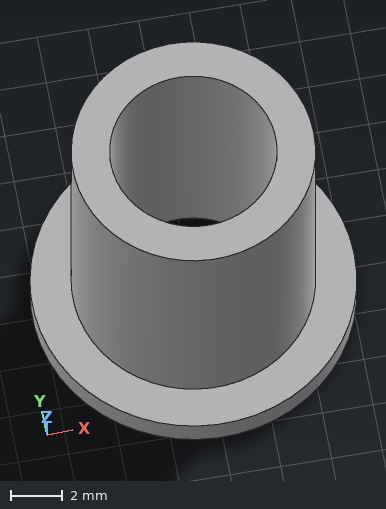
import cadquery as cq

flange_diameter = 12.7
sleeve_diameter = 9.5
bore_diameter = 6.5
total_height = 12.4
flange_thickness = 1.2

flange = cq.Workplane("XY").circle(flange_diameter / 2).extrude(flange_thickness)

sleeve_height = total_height - flange_thickness
body = flange.faces(">Z").workplane().circle(sleeve_diameter / 2).extrude(sleeve_height)

result = body.faces(">Z").workplane().hole(bore_diameter)